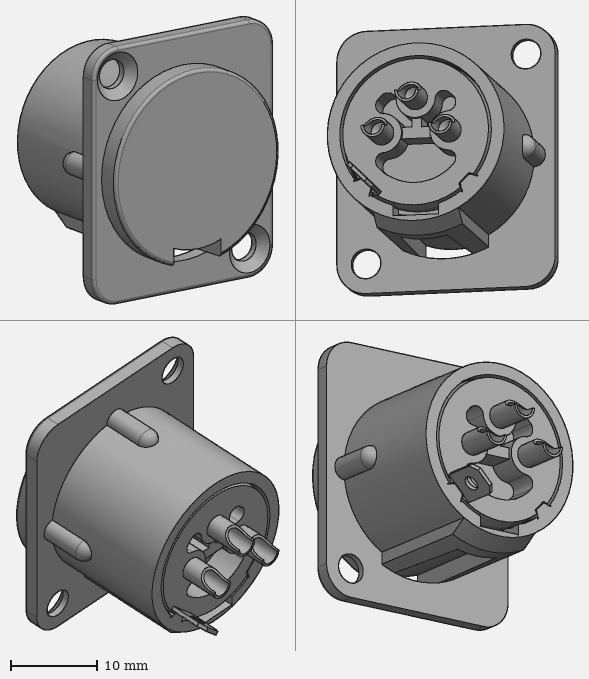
import cadquery as cq
import math


FLANGE_WIDTH = 25.94
FLANGE_HEIGHT = 31.02
FLANGE_THICKNESS = 2.0
FLANGE_CORNER_RADIUS = 3.5
SCREW_HOLE_DIAMETER = 3.5
COUNTERSINK_DIAMETER = 5.8
COUNTERSINK_ANGLE = 90
SCREW_HOLE_Y = 9.5
SCREW_HOLE_Z = 12.0
FRONT_EDGE_RADIUS = 0.4

SHELL_RADIUS = 10.5
SHELL_LENGTH = 16.3
REAR_X = -SHELL_LENGTH
COLLAR_RADIUS = 11.8
COLLAR_FRONT_X = 4.7
KEEL_WIDTH = 10.15
KEEL_RAMP_LENGTH = 2.25

RIB_RADIUS = 1.4
RIB_LENGTH = 5.1
RIB_CENTRE_RADIUS = COLLAR_RADIUS - RIB_RADIUS
RIB_ANGLES = (0, 90, 180)

BORE_RADIUS = 9.0
INSERT_REAR_RADIUS = 8.65
INSERT_ROOT_RADIUS = 8.9
GROOVE_DEPTH = 2.0

KEY_ANGLES = (-45, -135)
KEY_FLAT_DISTANCE = 8.2
KEY_INNER_WIDTH = 1.5
KEY_OUTER_WIDTH = 2.5
KEY_CLEARANCE = 0.1

LATCH_WINDOW_WIDTH = 5.4
LATCH_WINDOW_FLOOR = 9.83
LATCH_WINDOW_DEPTH = 3.0
LATCH_CORE_RADIUS = 9.8
LATCH_CHAMFER = 0.35
LATCH_SLOT_REAR_X = -11.8
LATCH_SLOT_REAR_WIDTH = 5.5
LATCH_SLOT_FRONT_WIDTH = 6.8

TERMINAL_LENGTH = 5.0
TERMINAL_X = REAR_X - TERMINAL_LENGTH
PIN_RADIUS = 1.4
PIN_PITCH_RADIUS = 4.0
PIN_ANGLES = (0, 90, 180)
CUP_RADIUS = 1.1
CUP_DEPTH = 4.2
CUP_TIP_DEPTH = 0.65
CUP_MOUTH_FLAT = 0.4
CUP_MOUTH_RADIUS = 2.5

RECESS_RADIUS = 6.0
RECESS_DEPTH = 3.8
PIN_SLEEVE_RADIUS = 2.32
RECESS_CORNER_RADIUS = 1.0
WEB_BAR_THICKNESS = 1.36
WEB_STEM_THICKNESS = 1.14
WEB_SETBACK = 0.5

TAB_ANGLE = KEY_ANGLES[0]
TAB_WIDTH = 4.05
TAB_THICKNESS = 0.5
TAB_INNER_DISTANCE = 7.77
TAB_CORNER_CHAMFER = 0.88
TAB_HOLE_DIAMETER = 1.8
TAB_HOLE_SETBACK = 2.46


def cross_section(x):
    """Workplane across the axis at x, with local axes Y and Z."""
    return cq.Workplane("YZ", origin=(x, 0, 0))


def turned(profile):
    """Solid turned about the X axis from (x, radius) points."""
    return cq.Workplane("XY").polyline(profile).close().revolve(360, (0, 0, 0), (1, 0, 0))


def about_axis(solid, angle):
    """Turn a solid built on the +Y side by an angle from +Y towards +Z."""
    return solid.rotate((0, 0, 0), (1, 0, 0), angle)


def pin_centre(angle):
    turn = math.radians(angle)
    return PIN_PITCH_RADIUS * math.cos(turn), PIN_PITCH_RADIUS * math.sin(turn)


def make_flange():
    plate = cross_section(0).rect(FLANGE_WIDTH, FLANGE_HEIGHT).extrude(FLANGE_THICKNESS)
    plate = plate.edges("|X").fillet(FLANGE_CORNER_RADIUS)
    plate = plate.faces(">X").edges().fillet(FRONT_EDGE_RADIUS)
    holes = [(-SCREW_HOLE_Y, SCREW_HOLE_Z), (SCREW_HOLE_Y, -SCREW_HOLE_Z)]
    return (
        cross_section(FLANGE_THICKNESS)
        .add(plate)
        .pushPoints(holes)
        .cskHole(SCREW_HOLE_DIAMETER, COUNTERSINK_DIAMETER, COUNTERSINK_ANGLE)
    )


def make_collar():
    collar = cross_section(0).circle(COLLAR_RADIUS).extrude(COLLAR_FRONT_X)
    return collar.faces(">X").edges().fillet(FRONT_EDGE_RADIUS)


def make_keel():
    ramp_end_x = REAR_X + KEEL_RAMP_LENGTH
    body = turned([
        (REAR_X, 0),
        (REAR_X, SHELL_RADIUS),
        (ramp_end_x, COLLAR_RADIUS),
        (0, COLLAR_RADIUS),
        (0, 0),
    ])
    strip = cross_section(REAR_X).center(0, -COLLAR_RADIUS / 2).rect(KEEL_WIDTH, COLLAR_RADIUS)
    return body.intersect(strip.extrude(SHELL_LENGTH))


def make_rib(angle):
    """Round rod along the shell with a hemispherical rear end."""
    arc_reach = RIB_RADIUS * math.sqrt(0.5)
    rod = (
        cq.Workplane("XY")
        .moveTo(0, 0)
        .lineTo(0, RIB_RADIUS)
        .lineTo(-RIB_LENGTH, RIB_RADIUS)
        .threePointArc((-RIB_LENGTH - arc_reach, arc_reach), (-RIB_LENGTH - RIB_RADIUS, 0))
        .close()
        .revolve(360, (0, 0, 0), (1, 0, 0))
    )
    return about_axis(rod.translate((0, RIB_CENTRE_RADIUS, 0)), angle)


def make_key(angle, clearance):
    """Tapered key filling the groove; a clearance widens it all round."""
    inner_half = KEY_INNER_WIDTH / 2 + clearance
    outer_half = KEY_OUTER_WIDTH / 2 + clearance
    inner = KEY_FLAT_DISTANCE - clearance
    outer = BORE_RADIUS + KEY_CLEARANCE
    key = (
        cross_section(REAR_X)
        .polyline([(inner, -inner_half), (outer, -outer_half), (outer, outer_half), (inner, inner_half)])
        .close()
        .extrude(GROOVE_DEPTH)
    )
    return about_axis(key, angle)


def make_groove():
    """Ring groove with a tapered inner wall, interrupted by the keys."""
    root_x = REAR_X + GROOVE_DEPTH
    groove = turned([
        (REAR_X, INSERT_REAR_RADIUS),
        (root_x, INSERT_ROOT_RADIUS),
        (root_x, BORE_RADIUS),
        (REAR_X, BORE_RADIUS),
    ])
    for angle in KEY_ANGLES:
        groove = groove.union(make_key(angle, KEY_CLEARANCE))
    for angle in KEY_ANGLES:
        groove = groove.cut(make_key(angle, 0))
    return groove


def make_latch_channel():
    """Rear window opening into a slot along the outside, both following a round core."""
    full_length = COLLAR_FRONT_X - REAR_X
    window = (
        cross_section(REAR_X)
        .center(0, -LATCH_WINDOW_FLOOR / 2)
        .rect(LATCH_WINDOW_WIDTH, LATCH_WINDOW_FLOOR)
        .extrude(full_length)
    )
    slot = (
        cq.Workplane("XY", origin=(0, 0, -FLANGE_HEIGHT / 2))
        .polyline([
            (LATCH_SLOT_REAR_X, -LATCH_SLOT_REAR_WIDTH / 2),
            (COLLAR_FRONT_X, -LATCH_SLOT_FRONT_WIDTH / 2),
            (COLLAR_FRONT_X, LATCH_SLOT_FRONT_WIDTH / 2),
            (LATCH_SLOT_REAR_X, LATCH_SLOT_REAR_WIDTH / 2),
        ])
        .close()
        .extrude(FLANGE_HEIGHT / 2)
    )
    slot = slot.intersect(cross_section(REAR_X).circle(COLLAR_RADIUS).extrude(full_length))
    core_x = REAR_X + LATCH_WINDOW_DEPTH
    core = turned([
        (REAR_X, 0),
        (REAR_X, INSERT_REAR_RADIUS),
        (REAR_X + GROOVE_DEPTH, INSERT_ROOT_RADIUS),
        (core_x, INSERT_ROOT_RADIUS),
        (core_x, LATCH_CORE_RADIUS - LATCH_CHAMFER),
        (core_x + LATCH_CHAMFER, LATCH_CORE_RADIUS),
        (COLLAR_FRONT_X, LATCH_CORE_RADIUS),
        (COLLAR_FRONT_X, 0),
    ])
    return window.union(slot).cut(core)


def make_recess():
    """Round recess between the contact sleeves, with a T-shaped web left inside."""
    recess = cross_section(REAR_X).circle(RECESS_RADIUS).extrude(RECESS_DEPTH)
    for angle in PIN_ANGLES:
        sleeve = cross_section(REAR_X).center(*pin_centre(angle)).circle(PIN_SLEEVE_RADIUS)
        recess = recess.cut(sleeve.extrude(RECESS_DEPTH))
    recess = recess.edges("|X").fillet(RECESS_CORNER_RADIUS)
    web_x = REAR_X + WEB_SETBACK
    web_depth = RECESS_DEPTH - WEB_SETBACK
    bar = cross_section(web_x).rect(2 * PIN_PITCH_RADIUS, WEB_BAR_THICKNESS).extrude(web_depth)
    stem = (
        cross_section(web_x)
        .center(0, PIN_PITCH_RADIUS / 2)
        .rect(WEB_STEM_THICKNESS, PIN_PITCH_RADIUS)
        .extrude(web_depth)
    )
    return recess.cut(bar).cut(stem)


def make_solder_cup(angle):
    """Terminal with a drilled end whose upper half is scooped away."""
    y, z = pin_centre(angle)
    pin = cross_section(TERMINAL_X).circle(PIN_RADIUS).extrude(TERMINAL_LENGTH)
    drill_end_x = TERMINAL_X + CUP_DEPTH
    drill = turned([
        (TERMINAL_X, 0),
        (TERMINAL_X, CUP_RADIUS),
        (drill_end_x, CUP_RADIUS),
        (drill_end_x + CUP_TIP_DEPTH, 0),
    ])
    arc_start_x = TERMINAL_X + CUP_MOUTH_FLAT
    arc_reach = CUP_MOUTH_RADIUS * math.sqrt(0.5)
    scoop = (
        cq.Workplane("XZ")
        .moveTo(TERMINAL_X, 0)
        .lineTo(arc_start_x, 0)
        .threePointArc(
            (arc_start_x + arc_reach, CUP_MOUTH_RADIUS - arc_reach),
            (arc_start_x + CUP_MOUTH_RADIUS, CUP_MOUTH_RADIUS),
        )
        .lineTo(TERMINAL_X, CUP_MOUTH_RADIUS)
        .close()
        .extrude(PIN_RADIUS, both=True)
    )
    return pin.cut(drill).cut(scoop).translate((0, y, z))


def make_ground_tab():
    tab = cq.Workplane("XY").box(
        TERMINAL_LENGTH, TAB_THICKNESS, TAB_WIDTH, centered=(False, False, True)
    )
    tab = tab.edges("|Y and <X").chamfer(TAB_CORNER_CHAMFER)
    hole = (
        cq.Workplane("XZ")
        .center(TAB_HOLE_SETBACK, 0)
        .circle(TAB_HOLE_DIAMETER / 2)
        .extrude(-TAB_THICKNESS)
    )
    tab = tab.cut(hole).translate((TERMINAL_X, TAB_INNER_DISTANCE, 0))
    return about_axis(tab, TAB_ANGLE)


def make_connector():
    body = cross_section(REAR_X).circle(SHELL_RADIUS).extrude(SHELL_LENGTH)
    body = body.union(make_keel()).union(make_flange()).union(make_collar())
    for angle in RIB_ANGLES:
        body = body.union(make_rib(angle))
    body = body.cut(make_groove()).cut(make_latch_channel()).cut(make_recess())
    for angle in PIN_ANGLES:
        body = body.union(make_solder_cup(angle))
    return body.union(make_ground_tab())


result = make_connector()